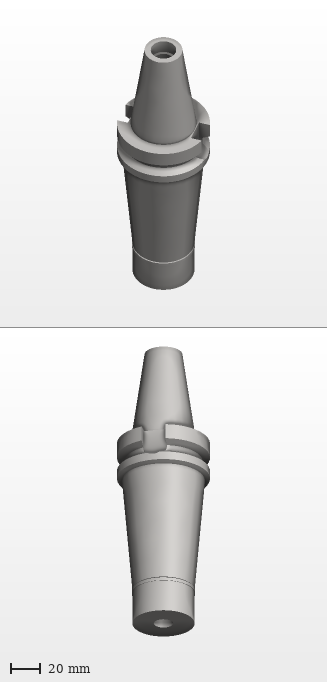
import cadquery as cq

total_height = 200.5
bore_radius = 6.6

nut_radius = 21.0
nut_height = 22.2

collar_radius = 21.5
collar_height = 2.2
neck_radius = 16.0
neck_height = 0.6

sleeve_bottom_z = nut_height + collar_height + neck_height
sleeve_bottom_radius = 21.0
sleeve_top_z = 106.2
sleeve_top_radius = 28.0

flange_radius = 31.5
rim_bottom_z = 107.8
rim_top_z = 113.5
gripper_groove_radius = 26.5
gripper_groove_bottom_z = 116.6
gripper_groove_top_z = 120.6
flange_upper_z = 123.5
flange_top_z = 133.9

gauge_band_height = 1.2
gauge_radius = 22.2
gauge_z = flange_top_z + gauge_band_height
taper_top_radius = 12.8
counterbore_radius = 8.6
counterbore_depth = 9.6

slot_width = 16.5
slot_floor_x = 22.6
slot_bottom_z = 112.2


def make_nut():
    """Plain ring with a raised collar on top, closing the lower end."""
    ring = cq.Workplane("XY").circle(nut_radius).circle(bore_radius).extrude(nut_height)
    collar = (
        cq.Workplane("XY", origin=(0, 0, nut_height))
        .circle(collar_radius)
        .circle(bore_radius)
        .extrude(collar_height)
    )
    return ring.union(collar)


def make_holder_blank():
    """Revolved sleeve, flange and taper with the through bore and counterbore."""
    neck_bottom_z = nut_height + collar_height
    counterbore_floor_z = total_height - counterbore_depth
    profile = [
        (bore_radius, neck_bottom_z),
        (neck_radius, neck_bottom_z),
        (neck_radius, sleeve_bottom_z),
        (sleeve_bottom_radius, sleeve_bottom_z),
        (sleeve_top_radius, sleeve_top_z),
        (flange_radius, rim_bottom_z),
        (flange_radius, rim_top_z),
        (gripper_groove_radius, gripper_groove_bottom_z),
        (gripper_groove_radius, gripper_groove_top_z),
        (flange_radius, flange_upper_z),
        (flange_radius, flange_top_z),
        (gauge_radius, flange_top_z),
        (gauge_radius, gauge_z),
        (taper_top_radius, total_height),
        (counterbore_radius, total_height),
        (counterbore_radius, counterbore_floor_z),
        (bore_radius, counterbore_floor_z),
    ]
    return cq.Workplane("YZ").polyline(profile).close().revolve(360, (0, 0), (0, 1))


def make_drive_slot(side):
    """Cutter for one drive slot, open upward and outward, with a round lower end."""
    half_width = slot_width / 2
    arc_center_z = slot_bottom_z + half_width
    return (
        cq.Workplane("YZ", origin=(side * slot_floor_x, 0, 0))
        .moveTo(-half_width, flange_top_z)
        .lineTo(-half_width, arc_center_z)
        .threePointArc((0, slot_bottom_z), (half_width, arc_center_z))
        .lineTo(half_width, flange_top_z)
        .close()
        .extrude(side * flange_radius)
    )


nut = make_nut()

holder = make_holder_blank()
for side in (-1, 1):
    holder = holder.cut(make_drive_slot(side))

result = cq.Compound.makeCompound([holder.val(), nut.val()])